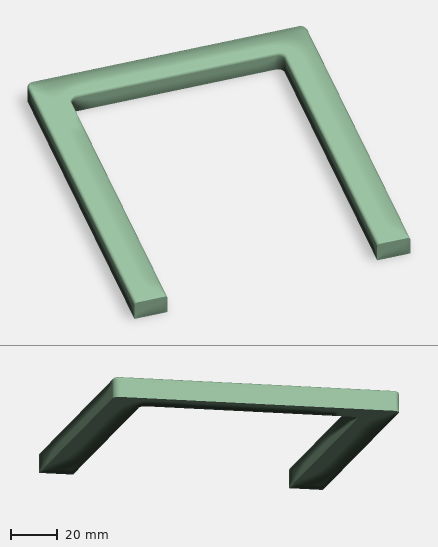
import cadquery as cq

length = 153.0
width = 126.3
height = 9.0

bar_width = 15.0
short_arm_setback = 4.9

corner_radius = 3.0
top_edge_radius = 1.3

short_arm_length = length - short_arm_setback
inner_low = bar_width
inner_high = width - bar_width


def u_frame():
    """Flat U with two arms along +X joined by a spine at X = 0."""
    outline = [
        (0, 0),
        (length, 0),
        (length, inner_low),
        (bar_width, inner_low),
        (bar_width, inner_high),
        (short_arm_length, inner_high),
        (short_arm_length, width),
        (0, width),
    ]
    return cq.Workplane("XY").polyline(outline).close().extrude(height)


def round_corners(frame):
    """Round the outer and inner corners at the spine."""
    spine_corners = frame.edges("|Z").edges("<<X[-1] or <<X[-2]")
    return spine_corners.fillet(corner_radius)


def round_top(frame):
    """Round the top rim along the bars, leaving both arm ends square."""
    spine_rims = frame.faces(">Z").edges("|Y").edges("<<X[-1] or <<X[-2]")
    return spine_rims.fillet(top_edge_radius)


result = round_top(round_corners(u_frame()))